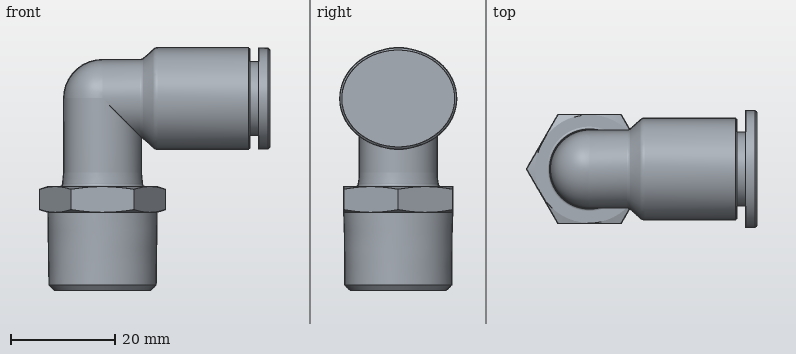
import cadquery as cq
import math

overall_length = 44.32
overall_height = 46.7
hex_bottom = 15.0
hex_top = 20.0

thread_top_radius = 10.5
thread_bottom_radius = 10.32
thread_chamfer = 1.1

hex_sides = 6
hex_across_flats = 21.0
hex_corner_radius = hex_across_flats / 2 / math.cos(math.pi / hex_sides)
hex_chamfer_radius = 10.4
hex_chamfer_drop = 0.55

elbow_radius = 7.5
collar_top = 22.6
collar_fillet_top = 20.5
collar_radius = 7.7
collar_foot_radius = 8.1

body_radius = 9.8
body_cone_start = 7.6
body_cone_end = 10.15
body_end = 28.3
body_end_chamfer = 0.3
cone_root_fillet = 0.8
cone_crown_fillet = 1.1
selection_margin = 0.01
elbow_centre_height = overall_height - body_radius

neck_radius = 7.15
flange_start = 30.0
flange_half_width = 11.25
flange_half_height = 9.7
flange_chamfer = 0.4
sleeve_end = overall_length - hex_corner_radius


def make_thread():
    """Tapered threaded end with a chamfered lead-in."""
    return (
        cq.Workplane("XZ")
        .lineTo(thread_bottom_radius - thread_chamfer, 0)
        .lineTo(thread_bottom_radius, thread_chamfer)
        .lineTo(thread_top_radius, hex_bottom)
        .lineTo(0, hex_bottom)
        .close()
        .revolve()
    )


def make_hexagon():
    """Hexagon with conically chamfered corners at both faces."""
    prism = (
        cq.Workplane("XY")
        .workplane(offset=hex_bottom)
        .polygon(hex_sides, 2 * hex_corner_radius)
        .extrude(hex_top - hex_bottom)
    )
    corner_envelope = (
        cq.Workplane("XZ")
        .moveTo(0, hex_bottom)
        .lineTo(hex_chamfer_radius, hex_bottom)
        .lineTo(hex_corner_radius, hex_bottom + hex_chamfer_drop)
        .lineTo(hex_corner_radius, hex_top - hex_chamfer_drop)
        .lineTo(hex_chamfer_radius, hex_top)
        .lineTo(0, hex_top)
        .close()
        .revolve()
    )
    return prism.intersect(corner_envelope)


def make_upright_tube():
    """Vertical tube flaring out to the collar, with a concave foot on the hexagon."""
    return (
        cq.Workplane("XZ")
        .moveTo(0, hex_top)
        .lineTo(collar_foot_radius, hex_top)
        .threePointArc(foot_arc_middle(), (collar_radius, collar_fillet_top))
        .lineTo(elbow_radius, collar_top)
        .lineTo(elbow_radius, elbow_centre_height)
        .lineTo(0, elbow_centre_height)
        .close()
        .revolve()
    )


def foot_arc_middle():
    """Middle point of the concave arc between the collar and the hexagon."""
    inset = 1 - math.sqrt(0.5)
    radial = collar_radius + inset * (collar_foot_radius - collar_radius)
    height = hex_top + inset * (collar_fillet_top - hex_top)
    return radial, height


def make_ball():
    """Ball closing the outer corner of the elbow."""
    return cq.Workplane("XY").sphere(elbow_radius).translate((0, 0, elbow_centre_height))


def make_socket_body():
    """Horizontal tube widening through a filleted cone into the socket body."""
    profile = (
        cq.Workplane("XY")
        .lineTo(0, elbow_radius)
        .lineTo(body_cone_start, elbow_radius)
        .lineTo(body_cone_end, body_radius)
        .lineTo(body_end - body_end_chamfer, body_radius)
        .lineTo(body_end, body_radius - body_end_chamfer)
        .lineTo(body_end, 0)
        .close()
    )
    body = profile.revolve(360, (0, 0, 0), (1, 0, 0))
    body = fillet_ring(body, body_cone_start, cone_root_fillet)
    body = fillet_ring(body, body_cone_end, cone_crown_fillet)
    return body.translate((0, 0, elbow_centre_height))


def fillet_ring(body, position, radius):
    """Fillet the circular edge lying at the given X position."""
    ring = cq.selectors.BoxSelector(
        (position - selection_margin, -flange_half_width, -flange_half_width),
        (position + selection_margin, flange_half_width, flange_half_width),
        boundingbox=True,
    )
    return body.edges(ring).fillet(radius)


def make_release_sleeve():
    """Round neck carrying the oval flange with a chamfered outer rim."""
    neck = (
        cq.Workplane("YZ")
        .workplane(offset=body_end)
        .circle(neck_radius)
        .extrude(flange_start - body_end)
    )
    flange = (
        cq.Workplane("YZ")
        .workplane(offset=flange_start)
        .ellipse(flange_half_width, flange_half_height)
        .extrude(sleeve_end - flange_start)
        .faces(">X")
        .edges()
        .chamfer(flange_chamfer)
    )
    return neck.union(flange).translate((0, 0, elbow_centre_height))


result = (
    make_thread()
    .union(make_hexagon())
    .union(make_upright_tube())
    .union(make_ball())
    .union(make_socket_body())
    .union(make_release_sleeve())
)